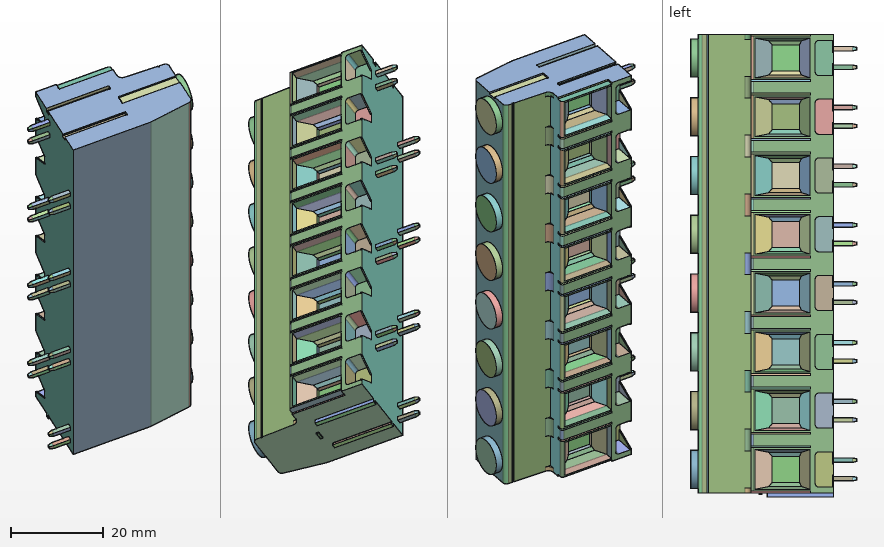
import cadquery as cq


TOTAL_LENGTH = 99.8
POLES = 8
PITCH = 12.7
END_OFFSET = 5.1
BODY_LENGTH = (POLES - 1) * PITCH + 2 * END_OFFSET
POLE_CENTRES = [END_OFFSET + i * PITCH for i in range(POLES)]

WIDTH = 18.7
HEIGHT = 29.2
SHOULDER_Y = 17.9
WALL_FOOT_X = 4.5
WALL_TOP_X = 4.9
BACK_TAPER_Y = 18.6
BACK_TOP_X = 17.1
TOP_RADIUS = 0.9
SHOULDER_RADIUS = 0.6
GUSSET_RADIUS = 1.3
GUSSET_CLEARANCE = 4.0

MARKER_Y = 27.1
MARKER_WIDTH = 0.3
MARKER_DEPTH = 0.2

ENTRY_Y = (5.1, 17.0)
ENTRY_HALF_Z = 4.3
ENTRY_STRAIGHT = 1.9
BORE_Y = (7.4, 13.3)
BORE_HALF_Z = 2.8
FUNNEL_DEPTH = 2.5
FUNNEL_BREAK = 0.8
BREAK_HALF_Z = 3.7
BORE_DEPTH = 0.9

SIDE_GROOVE_INNER = 4.7
SIDE_GROOVE_OUTER = END_OFFSET
SIDE_GROOVE_DEPTH = 1.5
SIDE_GROOVE_START_Y = 5.0

NOTCH_HEIGHT = 4.0
NOTCH_DEPTH = 4.5
NOTCH_MOUTH_HALF = 3.6
NOTCH_END_HALF = 1.2
NOTCH_HALF_Z = 3.8
NOTCH_PLATE = 0.3
NOTCH_RADIUS = 0.8

SCREW_X = 10.0
SCREW_DIAMETER = 8.3
SCREW_RISE = 1.6

PIN_LENGTH = 5.0
PIN_SIZE = 1.0
PIN_HALF_SPACING = 2.0
PIN_X_FRONT = 6.7
PIN_X_BACK = 16.9
PIN_TIP_LENGTH = 0.9
PIN_TIP_INSET = 0.2
PIN_EMBED = 1.0

RAIL_CENTRE_X = 9.9
RAIL_DEPTH = TOTAL_LENGTH - BODY_LENGTH
RAIL_FOOT = 0.5
RAIL_OUTER = 4.5
RAIL_STEM_INNER = 3.8
RAIL_FOOT_INNER = 3.5
RAIL_LENGTH = 14.4
RAIL_PLAY = 0.1
RAIL_GROOVE_LENGTH = 15.0
SNAP_CENTRE_X = 10.1
NUB_WIDTH = 1.9
NUB_HEIGHT = 0.3
NUB_Y = (15.5, 16.1)
CHANNEL_WIDTH = 2.1
CHANNEL_DEPTH = 0.4


def box(x_range, y_range, z_range):
    size = [high - low for low, high in (x_range, y_range, z_range)]
    corner = (x_range[0], y_range[0], z_range[0])
    return cq.Workplane("XY").box(*size, centered=False).translate(corner)


def housing_prism(z_start, z_end, inner_radius=0):
    """Housing outline extruded along Z, with an optional rounded inner shoulder corner."""
    outline = [
        (0, 0),
        (WIDTH, 0),
        (WIDTH, BACK_TAPER_Y),
        (BACK_TOP_X, HEIGHT),
        (WALL_TOP_X, HEIGHT),
        (WALL_FOOT_X, SHOULDER_Y),
        (0, SHOULDER_Y),
    ]
    base = cq.Workplane("XY", origin=(0, 0, z_start))
    prism = base.polyline(outline).close().extrude(z_end - z_start)
    middle = (z_start + z_end) / 2

    def edge_at(x, y):
        return cq.selectors.NearestToPointSelector((x, y, middle))

    for x in (WALL_TOP_X, BACK_TOP_X):
        prism = prism.edges(edge_at(x, HEIGHT)).fillet(TOP_RADIUS)
    prism = prism.edges(edge_at(0, SHOULDER_Y)).fillet(SHOULDER_RADIUS)
    if inner_radius:
        prism = prism.edges(edge_at(WALL_FOOT_X, SHOULDER_Y)).fillet(inner_radius)
    return prism


def housing():
    body = housing_prism(0, BODY_LENGTH)
    starts = [0] + [z + GUSSET_CLEARANCE for z in POLE_CENTRES]
    ends = [z - GUSSET_CLEARANCE for z in POLE_CENTRES] + [BODY_LENGTH]
    for start, end in zip(starts, ends):
        body = body.union(housing_prism(start, end, GUSSET_RADIUS))
    return body


def marker_groove():
    slope = (WALL_TOP_X - WALL_FOOT_X) / (HEIGHT - SHOULDER_Y)
    wall_x = WALL_FOOT_X + slope * (MARKER_Y - SHOULDER_Y)
    half = MARKER_WIDTH / 2
    return box((0, wall_x + MARKER_DEPTH), (MARKER_Y - half, MARKER_Y + half), (0, BODY_LENGTH))


def frustum(x_start, x_end, section_start, section_end):
    """Loft along X between two rectangles given as (y_low, y_high, half_z), centred on Z = 0."""
    (low_a, high_a, half_a), (low_b, high_b, half_b) = section_start, section_end
    centre_shift = (low_b + high_b - low_a - high_a) / 2
    return (
        cq.Workplane("YZ", origin=(x_start, (low_a + high_a) / 2, 0))
        .rect(high_a - low_a, 2 * half_a)
        .workplane(offset=x_end - x_start)
        .center(centre_shift, 0)
        .rect(high_b - low_b, 2 * half_b)
        .loft(ruled=True)
    )


def wire_entry():
    """Straight mouth, two-stage funnel and rectangular bore."""
    break_y = [mouth + FUNNEL_BREAK * (bore - mouth) for mouth, bore in zip(ENTRY_Y, BORE_Y)]
    break_x = ENTRY_STRAIGHT + FUNNEL_BREAK * FUNNEL_DEPTH
    funnel_end = ENTRY_STRAIGHT + FUNNEL_DEPTH
    mouth_section = (*ENTRY_Y, ENTRY_HALF_Z)
    break_section = (*break_y, BREAK_HALF_Z)
    bore_section = (*BORE_Y, BORE_HALF_Z)
    return (
        box((0, ENTRY_STRAIGHT), ENTRY_Y, (-ENTRY_HALF_Z, ENTRY_HALF_Z))
        .union(frustum(ENTRY_STRAIGHT, break_x, mouth_section, break_section))
        .union(frustum(break_x, funnel_end, break_section, bore_section))
        .union(box((funnel_end, funnel_end + BORE_DEPTH), BORE_Y, (-BORE_HALF_Z, BORE_HALF_Z)))
    )


def side_grooves():
    x_range = (0, SIDE_GROOVE_DEPTH)
    y_range = (SIDE_GROOVE_START_Y, SHOULDER_Y)
    upper = box(x_range, y_range, (SIDE_GROOVE_INNER, SIDE_GROOVE_OUTER))
    return upper.union(upper.mirror("XY"))


def notch():
    """Round-cornered pocket whose floor plate opens downwards through a tapered mouth."""
    pocket = box(
        (0, NOTCH_DEPTH),
        (NOTCH_PLATE, NOTCH_HEIGHT),
        (-NOTCH_HALF_Z, NOTCH_HALF_Z),
    )
    pocket = pocket.faces(">Y").edges("|X").fillet(NOTCH_RADIUS)
    outline = [
        (0, -NOTCH_MOUTH_HALF),
        (NOTCH_DEPTH, -NOTCH_END_HALF),
        (NOTCH_DEPTH, NOTCH_END_HALF),
        (0, NOTCH_MOUTH_HALF),
    ]
    mouth = cq.Workplane("XZ").polyline(outline).close().extrude(-NOTCH_HEIGHT / 2)
    return pocket.union(mouth)


def screw():
    return (
        cq.Workplane("XZ", origin=(SCREW_X, HEIGHT, 0))
        .circle(SCREW_DIAMETER / 2)
        .extrude(-SCREW_RISE)
    )


def pin():
    """Square pin centred on X = 0 and Z = 0 with a tapered tip."""
    tip_start = PIN_LENGTH - PIN_TIP_LENGTH
    tip_size = PIN_SIZE - 2 * PIN_TIP_INSET
    base = cq.Workplane("XZ", origin=(0, PIN_EMBED, 0))
    shank = base.rect(PIN_SIZE, PIN_SIZE).extrude(PIN_EMBED + tip_start)
    tip = (
        cq.Workplane("XZ", origin=(0, -tip_start, 0))
        .rect(PIN_SIZE, PIN_SIZE)
        .workplane(offset=PIN_TIP_LENGTH)
        .rect(tip_size, tip_size)
        .loft(ruled=True)
    )
    return shank.union(tip)


def hooked_rails(length, play=0):
    """Pair of L-section rails hanging below Z = 0, feet turned towards each other."""
    outer = RAIL_CENTRE_X - RAIL_OUTER - play
    stem_inner = RAIL_CENTRE_X - RAIL_STEM_INNER + play
    foot_inner = RAIL_CENTRE_X - RAIL_FOOT_INNER + play
    foot_top = RAIL_FOOT - RAIL_DEPTH
    stem = box((outer, stem_inner), (0, length), (-RAIL_DEPTH, 0))
    foot = box((outer, foot_inner), (0, length), (-RAIL_DEPTH, foot_top))
    rail = stem.union(foot)
    return rail.union(rail.mirror("YZ", (RAIL_CENTRE_X, 0, 0)))


def snap_nub():
    half = NUB_WIDTH / 2
    return box((SNAP_CENTRE_X - half, SNAP_CENTRE_X + half), NUB_Y, (-NUB_HEIGHT, 0))


def snap_channel():
    half = CHANNEL_WIDTH / 2
    x_range = (SNAP_CENTRE_X - half, SNAP_CENTRE_X + half)
    return box(x_range, (NUB_Y[0], HEIGHT), (BODY_LENGTH - CHANNEL_DEPTH, BODY_LENGTH))


result = housing().cut(marker_groove())

pole_cuts = [wire_entry(), side_grooves(), notch()]
for index, centre in enumerate(POLE_CENTRES):
    for cutter in pole_cuts:
        result = result.cut(cutter.translate((0, 0, centre)))
    result = result.union(screw().translate((0, 0, centre)))
    pin_x = PIN_X_BACK if index % 2 == 0 else PIN_X_FRONT
    for side in (-1, 1):
        result = result.union(pin().translate((pin_x, 0, centre + side * PIN_HALF_SPACING)))

rail_grooves = hooked_rails(RAIL_GROOVE_LENGTH, RAIL_PLAY).translate((0, 0, BODY_LENGTH))
result = result.cut(rail_grooves).cut(snap_channel())
result = result.union(hooked_rails(RAIL_LENGTH)).union(snap_nub())